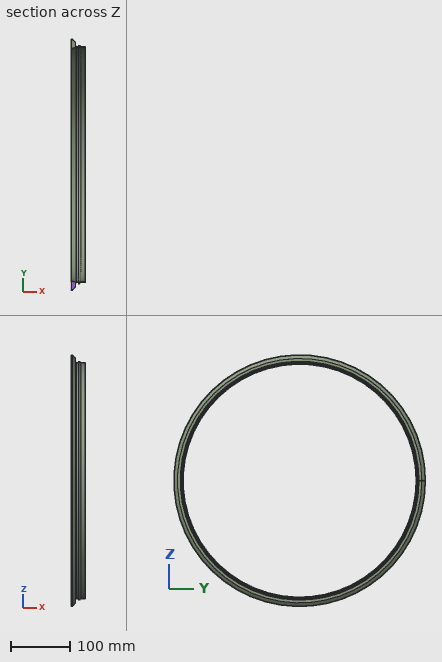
import cadquery as cq

ring_width = 24.0
outer_radius = 212.5
bore_radius = 196.5
sleeve_radius = 199.5

rim_round = 1.3
rim_end = 2 * rim_round
rim_end_radius = outer_radius - 1.0
flange_width = 7.5
shoulder_radius = 206.0
root_bevel = 1.3

lip_start = 12.5
lip_front_height = 1.3
lip_crest_position = lip_start + 1.0
lip_crest_height = 2.0
lip_slope_start = lip_start + 2.0
lip_slope_height = 1.5
lip_end = lip_start + 4.0

end_bevel = 0.5
mouth_bevel = 1.0

relief_position = 8.5
relief_radius = bore_radius + 2.0
land_start = 15.5
land_radius = bore_radius + 1.3

split_width = 0.5


def ring_body():
    """Revolve the wall section about the X axis."""
    section = (
        cq.Workplane("XY")
        .moveTo(mouth_bevel, bore_radius)
        .lineTo(0, bore_radius + mouth_bevel)
        .lineTo(0, outer_radius - rim_round)
        .threePointArc((rim_round, outer_radius), (rim_end, rim_end_radius))
        .lineTo(flange_width, shoulder_radius)
        .lineTo(flange_width, sleeve_radius + root_bevel)
        .lineTo(flange_width + root_bevel, sleeve_radius)
        .lineTo(lip_start, sleeve_radius)
        .lineTo(lip_start, sleeve_radius + lip_front_height)
        .threePointArc(
            (lip_crest_position, sleeve_radius + lip_crest_height),
            (lip_slope_start, sleeve_radius + lip_slope_height),
        )
        .lineTo(lip_end, sleeve_radius)
        .lineTo(ring_width - end_bevel, sleeve_radius)
        .lineTo(ring_width, sleeve_radius - end_bevel)
        .lineTo(ring_width, land_radius)
        .lineTo(land_start, land_radius)
        .lineTo(relief_position, relief_radius)
        .close()
    )
    return section.revolve(360, (0, 0, 0), (1, 0, 0))


def split_cutter():
    """Thin slab that opens the ring at +Y."""
    return cq.Workplane("XY").box(
        ring_width, outer_radius, split_width, centered=(False, False, True)
    ).translate((0, outer_radius / 2, 0))


result = ring_body().cut(split_cutter())